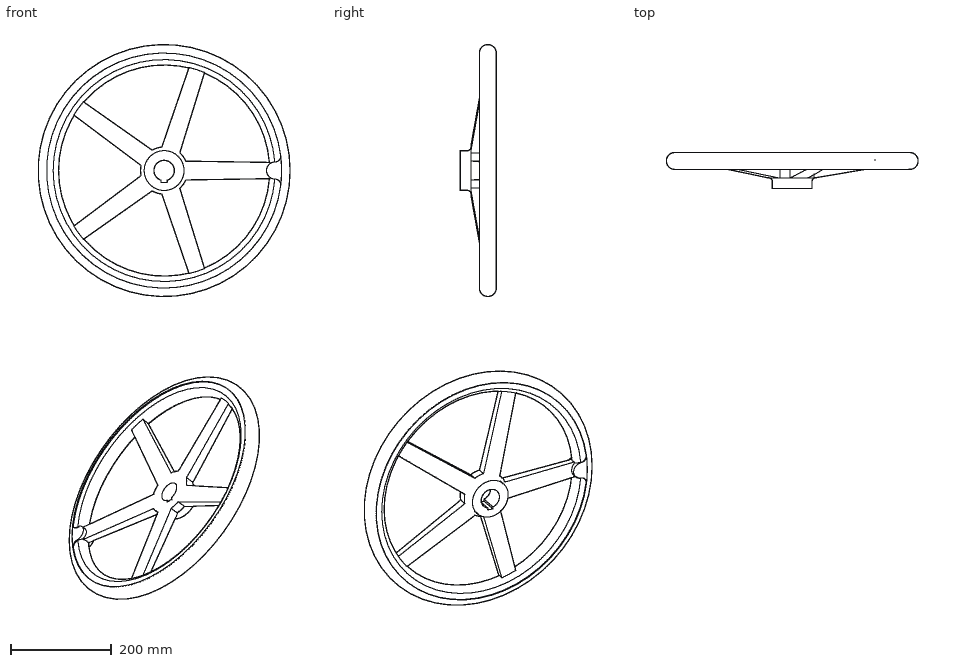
import cadquery as cq
import math

outer_radius = 250.0
grip_centre_radius = 233.0
grip_radius = outer_radius - grip_centre_radius
step_depth = 2.5
flat_half_thickness = grip_radius - step_depth
flat_inner_radius = 220.0
rim_inner_radius = 209.0

total_depth = 72.0
hub_front = grip_radius - total_depth
collar_radius = 79.0 / 2
collar_blend = 7.5
hub_radius = collar_radius + collar_blend
shoulder_front = -33.5
hub_back = -14.5
bore_radius = 20.0
keyway_width = 11.5
keyway_reach = 23.5

spoke_count = 5
spoke_root_width = 38.0
spoke_tip_width = 32.5
spoke_tip_radius = 215.0
spoke_tip_front = -5.0
spoke_tip_back = 9.0
spoke_root_radius = hub_radius - 10.0

boss_radius = 17.0
boss_centre = flat_inner_radius
boss_blend = 11.5
boss_depth = 1.0


def revolve_about_y(profile):
    """Turn a profile drawn as (radius, y) around the wheel axis."""
    return profile.close().revolve(360, (0, 0, 0), (0, 1, 0))


def plate(outline, front, back):
    """Extrude an outline drawn as (x, -z) between two Y positions."""
    return outline.extrude(back - front).translate((0, front, 0))


def xz_sketch():
    """Sketch plane facing +Y."""
    return cq.Workplane(cq.Plane((0, 0, 0), (1, 0, 0), (0, 1, 0)))


def make_rim():
    profile = (
        cq.Workplane("XY")
        .moveTo(grip_centre_radius, -grip_radius)
        .threePointArc((outer_radius, 0), (grip_centre_radius, grip_radius))
        .lineTo(grip_centre_radius, flat_half_thickness)
        .lineTo(flat_inner_radius, flat_half_thickness)
        .threePointArc((rim_inner_radius, 0), (flat_inner_radius, -flat_half_thickness))
        .lineTo(grip_centre_radius, -flat_half_thickness)
    )
    return revolve_about_y(profile)


def make_hub():
    blend_end = shoulder_front - collar_blend
    blend_offset = collar_blend * (1 - math.sqrt(0.5))
    profile = (
        cq.Workplane("XY")
        .moveTo(0, hub_front)
        .lineTo(collar_radius, hub_front)
        .lineTo(collar_radius, blend_end)
        .threePointArc(
            (collar_radius + blend_offset, shoulder_front - blend_offset),
            (hub_radius, shoulder_front),
        )
        .lineTo(hub_radius, hub_back)
        .lineTo(0, hub_back)
    )
    return revolve_about_y(profile)


def make_spoke():
    """Spoke along +X: its side shape trimmed to its tapering width."""
    side_shape = (
        cq.Workplane("XY")
        .polyline([
            (spoke_root_radius, shoulder_front),
            (hub_radius, shoulder_front),
            (spoke_tip_radius, spoke_tip_front),
            (spoke_tip_radius, spoke_tip_back),
            (hub_radius, hub_back),
            (spoke_root_radius, hub_back),
        ])
        .close()
        .extrude(spoke_root_width / 2, both=True)
    )
    width_outline = xz_sketch().polyline([
        (spoke_root_radius, -spoke_root_width / 2),
        (spoke_tip_radius, -spoke_tip_width / 2),
        (spoke_tip_radius, spoke_tip_width / 2),
        (spoke_root_radius, spoke_root_width / 2),
    ]).close()
    return side_shape.intersect(plate(width_outline, hub_front, grip_radius))


def make_boss():
    """Boss through the rim, with concave blends tangent to the boss and the step circle."""
    centre_distance = boss_radius + boss_blend
    centre_orbit = grip_centre_radius - boss_blend
    blend_x = (centre_orbit**2 + boss_centre**2 - centre_distance**2) / (2 * boss_centre)
    blend_z = math.sqrt(centre_orbit**2 - blend_x**2)

    toward_boss = math.atan2(-blend_z, boss_centre - blend_x)
    toward_step = math.atan2(blend_z, blend_x)
    middle = (toward_boss + toward_step) / 2

    def blend_point(angle, side):
        x = blend_x + boss_blend * math.cos(angle)
        z = blend_z + boss_blend * math.sin(angle)
        return (x, side * z)

    outline = (
        xz_sketch()
        .moveTo(*blend_point(toward_step, 1))
        .threePointArc(blend_point(middle, 1), blend_point(toward_boss, 1))
        .threePointArc((boss_centre - boss_radius, 0), blend_point(toward_boss, -1))
        .threePointArc(blend_point(middle, -1), blend_point(toward_step, -1))
        .threePointArc((grip_centre_radius, 0), blend_point(toward_step, 1))
        .close()
    )
    boss_half_thickness = grip_radius - boss_depth
    return plate(outline, -boss_half_thickness, boss_half_thickness)


def make_bore():
    bore = plate(xz_sketch().circle(bore_radius), hub_front, hub_back)
    keyway = cq.Workplane("XY").box(
        keyway_width, hub_back - hub_front, keyway_reach, centered=(True, False, False)
    ).translate((0, hub_front, -keyway_reach))
    return bore.union(keyway)


wheel = make_rim().union(make_hub()).union(make_boss())
for index in range(spoke_count):
    angle = index * 360 / spoke_count
    wheel = wheel.union(make_spoke().rotate((0, 0, 0), (0, 1, 0), angle))
result = wheel.cut(make_bore())